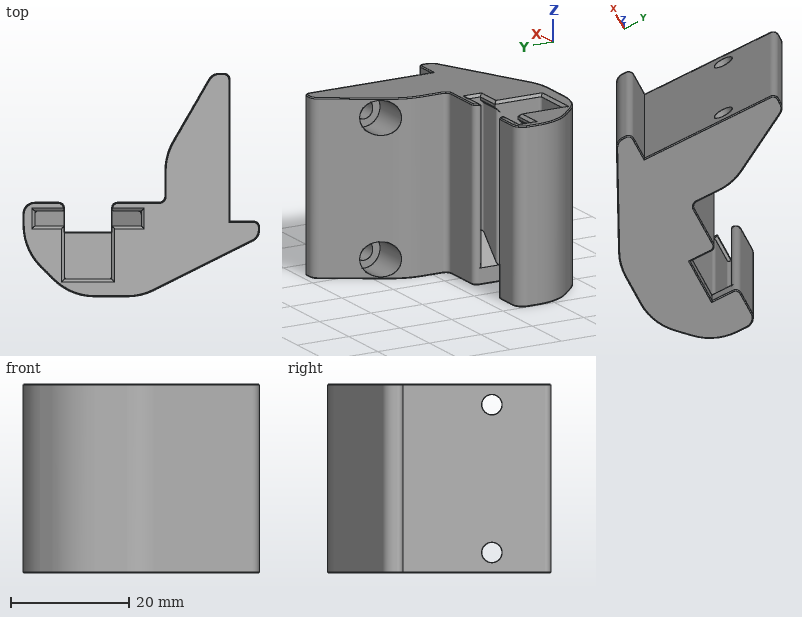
import cadquery as cq
import math

WIDTH = 40.0
HEIGHT = 32.0
EDGE_BREAK = 0.2

SEAT_X = 35.0
SEAT_LENGTH = 25.0
LEDGE_Y = 12.8
DEPTH = LEDGE_Y + SEAT_LENGTH

FIN_TIP_WIDTH = 3.0
FIN_ROOT_X = 24.0
FIN_TIP_X = SEAT_X - FIN_TIP_WIDTH
FIN_ANGLE = math.radians(30)
FIN_BEND_Y = DEPTH - (FIN_TIP_X - FIN_ROOT_X) / math.tan(FIN_ANGLE)

BODY_Y = 16.0
BODY_BEVEL = 8.0
UNDERSIDE_BEND_X = WIDTH / 2
UNDERSIDE_SLOPE = 0.5
TOE_Y = (WIDTH - UNDERSIDE_BEND_X) * UNDERSIDE_SLOPE

BIG_RADIUS = 10.0
MEDIUM_RADIUS = 2.0
SMALL_RADIUS = 1.0

SLOT_CENTER_X = 11.0
STEM_WIDTH = 8.0
STEM_BACK_Y = 3.0
FLANGE_WIDTH = 18.0
FLANGE_THICKNESS = 3.0
ENTRY_THICKNESS = 2.5
ENTRY_DEPTH = 1.0
ENTRY_BOTTOM_Z = HEIGHT - ENTRY_DEPTH
LIP_THICKNESS = 1.5
FLANGE_FRONT_Y = BODY_Y - LIP_THICKNESS
FLANGE_BACK_Y = FLANGE_FRONT_Y - FLANGE_THICKNESS
ENTRY_BACK_Y = FLANGE_FRONT_Y - ENTRY_THICKNESS
STEM_LEFT = SLOT_CENTER_X - STEM_WIDTH / 2
STEM_RIGHT = SLOT_CENTER_X + STEM_WIDTH / 2
FLANGE_LEFT = SLOT_CENTER_X - FLANGE_WIDTH / 2
FLANGE_RIGHT = SLOT_CENTER_X + FLANGE_WIDTH / 2
SLOT_CORNER_RADIUS = 0.5
RIM_CHAMFER = 0.5
FLOOR_THICKNESS = 3.0
FLOOR_FRONT_Y = 11.0

SCREW_OFFSET = 15.0
SCREW_Y = LEDGE_Y + SCREW_OFFSET
SCREW_EDGE_DISTANCE = 3.5
SCREW_DIAMETER = 3.4
HEAD_DIAMETER = 6.2
SCREW_SEAT_THICKNESS = 3.0
SCREW_CLEARANCE = 1.0


def round_corners(prism, points, radius):
    """Fillet the vertical edges of a prism that pass through the given XY points."""
    reach = 0.01
    for x, y in points:
        corner = cq.selectors.BoxSelector(
            (x - reach, y - reach, -HEIGHT), (x + reach, y + reach, 2 * HEIGHT)
        )
        prism = prism.edges("|Z").edges(corner).fillet(radius)
    return prism


def make_body():
    """Outline with the slot mouth, its corners rounded and its rims broken."""
    bevel_left = (0, BODY_BEVEL)
    bevel_bottom = (BODY_BEVEL, 0)
    underside_bend = (UNDERSIDE_BEND_X, 0)
    toe_bottom = (WIDTH, TOE_Y)
    toe_top = (WIDTH, LEDGE_Y)
    seat_corner = (SEAT_X, LEDGE_Y)
    tip_right = (SEAT_X, DEPTH)
    tip_left = (FIN_TIP_X, DEPTH)
    fin_bend = (FIN_ROOT_X, FIN_BEND_Y)
    fin_root = (FIN_ROOT_X, BODY_Y)
    lip_right = (STEM_RIGHT, BODY_Y)
    mouth_right = (STEM_RIGHT, FLOOR_FRONT_Y)
    mouth_left = (STEM_LEFT, FLOOR_FRONT_Y)
    lip_left = (STEM_LEFT, BODY_Y)
    body_corner = (0, BODY_Y)
    outline = [
        bevel_left, bevel_bottom, underside_bend, toe_bottom, toe_top, seat_corner,
        tip_right, tip_left, fin_bend, fin_root, lip_right, mouth_right, mouth_left,
        lip_left, body_corner,
    ]
    body = cq.Workplane("XY").polyline(outline).close().extrude(HEIGHT)
    body = round_corners(body, [bevel_left, bevel_bottom, underside_bend, fin_bend], BIG_RADIUS)
    body = round_corners(body, [toe_bottom, tip_left, body_corner], MEDIUM_RADIUS)
    body = round_corners(body, [toe_top, tip_right, fin_root, lip_right, lip_left], SMALL_RADIUS)
    return body.faces("|Z").edges().chamfer(EDGE_BREAK)


def make_entry_ledge(side):
    """Ledge with a 45 degree underside that narrows one flange (side -1 or +1) at its entry."""
    overhang = ENTRY_BACK_Y - STEM_BACK_Y
    profile = [
        (STEM_BACK_Y, HEIGHT),
        (ENTRY_BACK_Y, HEIGHT),
        (ENTRY_BACK_Y, ENTRY_BOTTOM_Z),
        (STEM_BACK_Y, ENTRY_BOTTOM_Z - overhang),
    ]
    start_x = SLOT_CENTER_X + side * STEM_WIDTH / 2
    start = cq.Workplane("YZ", origin=(start_x, 0, 0))
    return start.polyline(profile).close().extrude(side * FLANGE_WIDTH / 2)


def make_slot():
    """T-slot cavity whose flanges run out at 45 degrees onto the stem floor."""
    mouth_y = BODY_Y + LIP_THICKNESS
    back_corners = [(STEM_LEFT, STEM_BACK_Y), (STEM_RIGHT, STEM_BACK_Y)]
    shoulders = [(STEM_LEFT, FLANGE_BACK_Y), (STEM_RIGHT, FLANGE_BACK_Y)]
    lip_edges = [(STEM_LEFT, FLANGE_FRONT_Y), (STEM_RIGHT, FLANGE_FRONT_Y)]
    flange_ends = [
        (x, y) for x in (FLANGE_LEFT, FLANGE_RIGHT) for y in (FLANGE_BACK_Y, FLANGE_FRONT_Y)
    ]
    stem = cq.Workplane("XY").box(
        STEM_WIDTH, mouth_y - STEM_BACK_Y, HEIGHT, centered=False
    ).translate((STEM_LEFT, STEM_BACK_Y, 0))
    flange = cq.Workplane("XY").box(
        FLANGE_WIDTH, FLANGE_THICKNESS, HEIGHT, centered=False
    ).translate((FLANGE_LEFT, FLANGE_BACK_Y, 0))
    tee = stem.union(flange)
    corners = back_corners + shoulders + flange_ends + lip_edges
    tee = round_corners(tee, corners, SLOT_CORNER_RADIUS)
    for side in (-1, 1):
        tee = tee.cut(make_entry_ledge(side))

    runout = (FLANGE_WIDTH - STEM_WIDTH) / 2
    side_profile = [
        (FLANGE_LEFT, HEIGHT),
        (FLANGE_LEFT, FLOOR_THICKNESS + runout),
        (STEM_LEFT, FLOOR_THICKNESS),
        (STEM_RIGHT, FLOOR_THICKNESS),
        (FLANGE_RIGHT, FLOOR_THICKNESS + runout),
        (FLANGE_RIGHT, HEIGHT),
    ]
    runout_block = cq.Workplane("XZ").polyline(side_profile).close().extrude(-mouth_y)
    return tee.intersect(runout_block)


def make_rim_chamfer(width, back_y):
    """45 degree lead-in around a pocket of the given width that ends behind the lips."""
    return (
        cq.Workplane("XY", origin=(SLOT_CENTER_X, (back_y + FLANGE_FRONT_Y) / 2, HEIGHT))
        .rect(width + 2 * RIM_CHAMFER, FLANGE_FRONT_Y - back_y + 2 * RIM_CHAMFER)
        .extrude(-RIM_CHAMFER, taper=45)
    )


def make_floor_edge_break():
    """Wedge that breaks the upper front edge of the slot floor."""
    profile = [
        (FLOOR_FRONT_Y, FLOOR_THICKNESS),
        (FLOOR_FRONT_Y - EDGE_BREAK, FLOOR_THICKNESS),
        (FLOOR_FRONT_Y, FLOOR_THICKNESS - EDGE_BREAK),
    ]
    start = cq.Workplane("YZ", origin=(STEM_LEFT, 0, 0))
    return start.polyline(profile).close().extrude(STEM_WIDTH)


def make_screw_hole(z):
    """Through hole along X with a counterbore entered from the sloped side of the fin."""
    head_end_x = SEAT_X - SCREW_SEAT_THICKNESS
    start_x = FIN_ROOT_X - SCREW_CLEARANCE
    axis_start = cq.Workplane("YZ", origin=(start_x, SCREW_Y, z))
    shank = axis_start.circle(SCREW_DIAMETER / 2).extrude(WIDTH - start_x)
    head = axis_start.circle(HEAD_DIAMETER / 2).extrude(head_end_x - start_x)
    return shank.union(head)


result = make_body().cut(make_slot())
result = result.cut(make_rim_chamfer(STEM_WIDTH, STEM_BACK_Y))
result = result.cut(make_rim_chamfer(FLANGE_WIDTH, ENTRY_BACK_Y))
result = result.cut(make_floor_edge_break())
for screw_z in (SCREW_EDGE_DISTANCE, HEIGHT - SCREW_EDGE_DISTANCE):
    result = result.cut(make_screw_hole(screw_z))